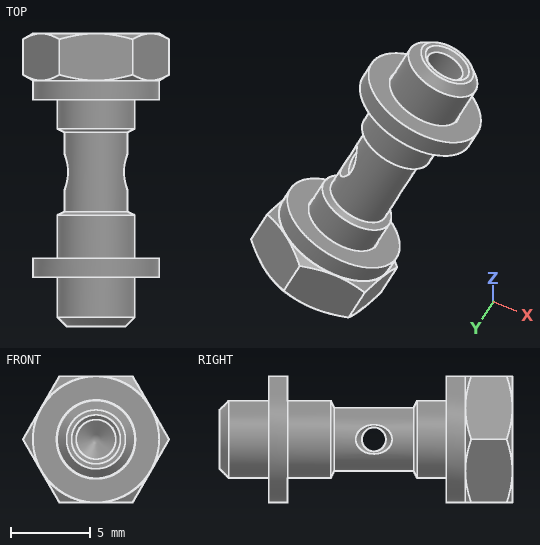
import cadquery as cq
import math

LENGTH = 18.5
HEAD_TOP = LENGTH / 2
TIP = -LENGTH / 2

ACROSS_FLATS = 8.0
HEAD_HEIGHT = 3.0
HEAD_CHAMFER_ANGLE = 30.0
HEAD_FACE_DIAMETER = 7.92

SHANK_DIAMETER = 4.9
NECK_DIAMETER = 4.0
NECK_LENGTH = 5.0
NECK_CENTER = HEAD_TOP - 8.75
NECK_TAPER = 0.22
TIP_CHAMFER = 0.6

BORE_DIAMETER = 2.5
BORE_DEPTH = 11.0
BORE_CHAMFER = 0.3
DRILL_POINT_ANGLE = 118.0

CROSS_HOLE_DIAMETER = 1.5
COUNTERSINK_DIAMETER = 2.3

WASHER_DIAMETER = ACROSS_FLATS
WASHER_HOLE_DIAMETER = 5.0
WASHER_THICKNESS = 1.2
HEAD_BOTTOM = HEAD_TOP - HEAD_HEIGHT
WASHER_SPACING = 11.2


def revolve_about_y(profile):
    """Revolve (radius, y) points about the Y axis."""
    return cq.Workplane("XY").polyline(profile).close().revolve(360, (0, 0, 0), (0, 1, 0))


def make_head():
    corner_diameter = ACROSS_FLATS / math.cos(math.pi / 6)
    hexagon = (
        cq.Workplane("XZ", origin=(0, HEAD_TOP, 0))
        .polygon(6, corner_diameter)
        .extrude(HEAD_HEIGHT)
    )
    face_radius = HEAD_FACE_DIAMETER / 2
    corner_radius = corner_diameter / 2
    drop = (corner_radius - face_radius) * math.tan(math.radians(HEAD_CHAMFER_ANGLE))
    envelope = revolve_about_y([
        (0, HEAD_TOP),
        (face_radius, HEAD_TOP),
        (corner_radius, HEAD_TOP - drop),
        (corner_radius, HEAD_BOTTOM + drop),
        (face_radius, HEAD_BOTTOM),
        (0, HEAD_BOTTOM),
    ])
    return hexagon.intersect(envelope)


def make_shank():
    shank_radius = SHANK_DIAMETER / 2
    neck_radius = NECK_DIAMETER / 2
    neck_top = NECK_CENTER + NECK_LENGTH / 2
    neck_bottom = NECK_CENTER - NECK_LENGTH / 2
    return revolve_about_y([
        (0, HEAD_BOTTOM),
        (shank_radius, HEAD_BOTTOM),
        (shank_radius, neck_top + NECK_TAPER),
        (neck_radius, neck_top),
        (neck_radius, neck_bottom),
        (shank_radius, neck_bottom - NECK_TAPER),
        (shank_radius, TIP + TIP_CHAMFER),
        (shank_radius - TIP_CHAMFER, TIP),
        (0, TIP),
    ])


def make_bore():
    radius = BORE_DIAMETER / 2
    point_depth = radius / math.tan(math.radians(DRILL_POINT_ANGLE / 2))
    return revolve_about_y([
        (0, TIP),
        (radius + BORE_CHAMFER, TIP),
        (radius, TIP + BORE_CHAMFER),
        (radius, TIP + BORE_DEPTH),
        (0, TIP + BORE_DEPTH + point_depth),
    ])


def make_cross_hole():
    hole_radius = CROSS_HOLE_DIAMETER / 2
    sink_radius = COUNTERSINK_DIAMETER / 2
    neck_radius = NECK_DIAMETER / 2
    sink_floor = neck_radius - (sink_radius - hole_radius)
    profile = [
        (-neck_radius, 0),
        (-neck_radius, sink_radius),
        (-sink_floor, hole_radius),
        (sink_floor, hole_radius),
        (neck_radius, sink_radius),
        (neck_radius, 0),
    ]
    cutter = cq.Workplane("XY").polyline(profile).close().revolve(360, (0, 0, 0), (1, 0, 0))
    return cutter.translate((0, NECK_CENTER, 0))


def make_bolt():
    return make_head().union(make_shank()).cut(make_bore()).cut(make_cross_hole())


def make_washer(top):
    return (
        cq.Workplane("XZ", origin=(0, top, 0))
        .circle(WASHER_DIAMETER / 2)
        .circle(WASHER_HOLE_DIAMETER / 2)
        .extrude(WASHER_THICKNESS)
    )


bolt = make_bolt()
washers = [make_washer(HEAD_BOTTOM - index * WASHER_SPACING) for index in range(2)]

result = cq.Compound.makeCompound([bolt.val(), *[washer.val() for washer in washers]])